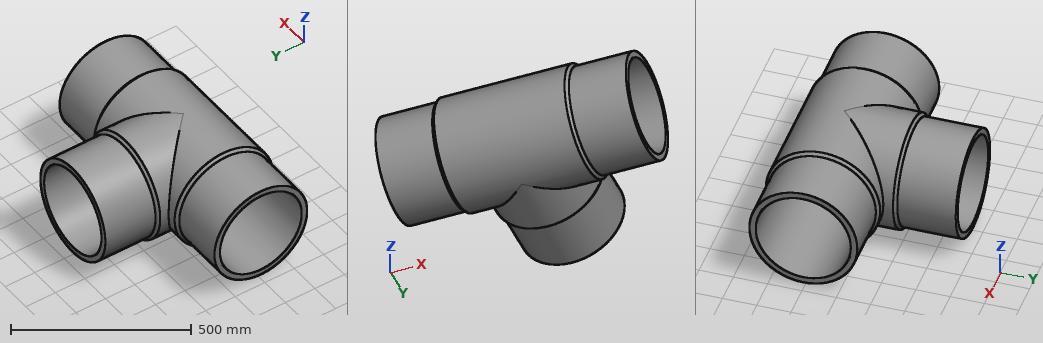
import cadquery as cq

run_length = 750.0
pipe_diameter = 315.0
bore_diameter = 277.5
body_diameter = 334.0
spigot_length = 170.0

arm_length = run_length / 2
body_reach = arm_length - spigot_length
shoulder = (body_diameter - pipe_diameter) / 2

run_plane = cq.Plane(origin=(0, 0, 0), xDir=(0, 1, 0), normal=(1, 0, 0))
branch_plane = cq.Plane(origin=(0, 0, 0), xDir=(1, 0, 0), normal=(0, 1, 0))


def cylinder(plane, diameter, length, both=False):
    """Cylinder from the tee centre along the plane normal, or along both directions."""
    return cq.Workplane(plane).circle(diameter / 2).extrude(length, both=both)


def run_outside():
    """Through pipe with a thicker body that is bevelled at both ends."""
    body = cylinder(run_plane, body_diameter, body_reach, both=True)
    body = body.faces("<X or >X").chamfer(shoulder)
    return body.union(cylinder(run_plane, pipe_diameter, arm_length, both=True))


def branch_outside():
    """Side pipe with a thicker body that is bevelled at its outer end."""
    body = cylinder(branch_plane, body_diameter, body_reach)
    body = body.faces(">Y").chamfer(shoulder)
    return body.union(cylinder(branch_plane, pipe_diameter, arm_length))


def bores():
    """Through bore joined by the branch bore."""
    run_bore = cylinder(run_plane, bore_diameter, arm_length, both=True)
    return run_bore.union(cylinder(branch_plane, bore_diameter, arm_length))


result = run_outside().union(branch_outside()).cut(bores())